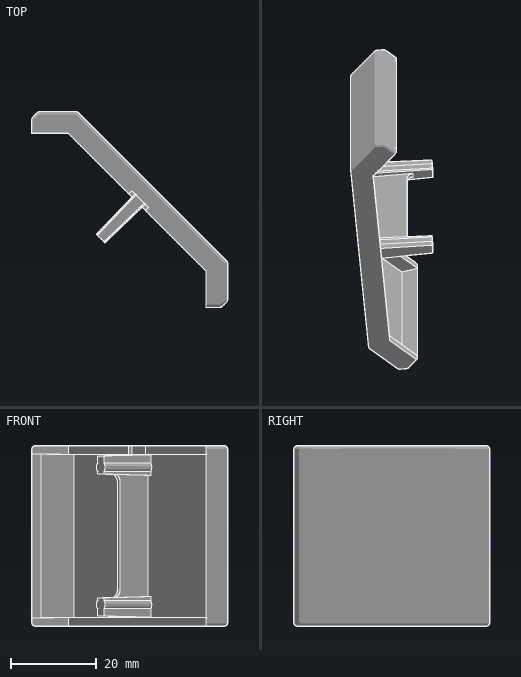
import cadquery as cq
import math

SIDE = 45.75
HEIGHT = 42.2
FLANGE_DEPTH = 5.12
FLANGE_LENGTH = 10.65
CORNER_CHAMFER = 1.55
EDGE_RADIUS = 0.9

WALL = 2.0
PLATE = 2.1
SLANT_WIDTH = 2.2
DRAFT = 1.0

NOTCH_WIDTH = 5.5
NOTCH_DEPTH = 1.0
NOTCH_HEIGHT = 2.75

ARM_LENGTH = 15.1
ARM_BASE_WIDTH = 2.85
ARM_TIP_WIDTH = 2.2
ARM_BASE_REACH = (35.25, 40.05)
ARM_TIP_REACH = (35.55, 39.75)
RIB_CENTER = 37.1
RIB_HALF_HEIGHT = 0.95
RIB_RISE = 0.3
TIP_RADIUS = 0.4
WEB_THICKNESS = 0.9
WEB_LENGTH = 9.15
WEB_FILLET = 2.0

MOUTH = SIDE - FLANGE_DEPTH
OFFSET_SHIFT = math.tan(math.radians(22.5))
MOUTH_CORNER = FLANGE_LENGTH - FLANGE_DEPTH * OFFSET_SHIFT
FLOOR = SIDE - WALL
FLOOR_CORNER = FLANGE_LENGTH - WALL * OFFSET_SHIFT
MID_Z = HEIGHT / 2
POCKET_DEPTH = FLANGE_DEPTH - WALL
FLOOR_MIDDLE = (FLOOR + FLOOR_CORNER) / 2

floor_origin = (FLOOR_MIDDLE, FLOOR_MIDDLE, 0)
floor_plane = cq.Plane(floor_origin, xDir=(1, -1, 0), normal=(-1, -1, 0))
side_plane = cq.Plane(floor_origin, xDir=(-1, -1, 0), normal=(-1, 1, 0))


def with_mirror(half):
    """Complete a plan outline by reflecting it across the X = Y diagonal."""
    return half + [(y, x) for x, y in reversed(half)]


def make_body():
    outline = with_mirror([
        (MOUTH_CORNER, MOUTH),
        (0, MOUTH),
        (0, SIDE - CORNER_CHAMFER),
        (CORNER_CHAMFER, SIDE),
        (FLANGE_LENGTH, SIDE),
    ])
    body = cq.Workplane("XY").polyline(outline).close().extrude(HEIGHT)
    for x, y in outline[2:-2]:
        body = body.edges(cq.selectors.NearestToPointSelector((x, y, MID_Z))).fillet(EDGE_RADIUS)
    for z in (0, HEIGHT):
        rim_point = (SIDE, FLANGE_LENGTH / 2, z)
        body = body.edges(cq.selectors.NearestToPointSelector(rim_point)).fillet(EDGE_RADIUS)
    return body


def make_pocket():
    outline = with_mirror([
        (MOUTH_CORNER, MOUTH),
        (0, MOUTH),
        (SLANT_WIDTH, FLOOR),
        (FLOOR_CORNER, FLOOR),
    ])
    plan = cq.Workplane("XY").polyline(outline).close().extrude(HEIGHT)
    flare = SIDE * math.tan(math.radians(DRAFT))
    wedge = (
        cq.Workplane(side_plane)
        .polyline([
            (0, PLATE),
            (SIDE, PLATE - flare),
            (SIDE, HEIGHT - PLATE + flare),
            (0, HEIGHT - PLATE),
        ])
        .close()
        .extrude(SIDE, both=True)
    )
    return plan.intersect(wedge)


def make_notch():
    return (
        cq.Workplane(floor_plane)
        .workplane(offset=POCKET_DEPTH - NOTCH_DEPTH)
        .center(0, HEIGHT - NOTCH_HEIGHT / 2)
        .rect(NOTCH_WIDTH, NOTCH_HEIGHT)
        .extrude(FLANGE_DEPTH)
    )


def arm_section(workplane, width, reach):
    """Flat-sided section with a rounded rib on each side."""
    half = width / 2
    low, high = reach
    rib_low = RIB_CENTER - RIB_HALF_HEIGHT
    rib_high = RIB_CENTER + RIB_HALF_HEIGHT
    return (
        workplane.moveTo(-half, low)
        .lineTo(half, low)
        .lineTo(half, rib_low)
        .threePointArc((half + RIB_RISE, RIB_CENTER), (half, rib_high))
        .lineTo(half, high)
        .lineTo(-half, high)
        .lineTo(-half, rib_high)
        .threePointArc((-half - RIB_RISE, RIB_CENTER), (-half, rib_low))
        .close()
    )


def make_top_arm():
    base = arm_section(cq.Workplane(floor_plane), ARM_BASE_WIDTH, ARM_BASE_REACH)
    tip_plane = base.workplane(offset=ARM_LENGTH)
    arm = arm_section(tip_plane, ARM_TIP_WIDTH, ARM_TIP_REACH).loft(ruled=True)
    tip_edge = floor_plane.toWorldCoords((0, ARM_TIP_REACH[1], ARM_LENGTH))
    return arm.edges(cq.selectors.NearestToPointSelector(tip_edge.toTuple())).fillet(TIP_RADIUS)


def make_web_half():
    """Web from mid height up to the top arm, with a fillet where they meet."""
    arm_inner = ARM_TIP_REACH[0]
    fillet_end = arm_inner - WEB_FILLET
    fillet_top = WEB_LENGTH + WEB_FILLET
    arc_inset = WEB_FILLET * (1 - math.sqrt(0.5))
    return (
        cq.Workplane(side_plane)
        .moveTo(0, MID_Z)
        .lineTo(WEB_LENGTH, MID_Z)
        .lineTo(WEB_LENGTH, fillet_end)
        .threePointArc((WEB_LENGTH + arc_inset, arm_inner - arc_inset), (fillet_top, arm_inner))
        .lineTo(fillet_top, RIB_CENTER)
        .lineTo(0, RIB_CENTER)
        .close()
        .extrude(WEB_THICKNESS / 2, both=True)
    )


clip_half = make_top_arm().union(make_web_half())
clip = clip_half.union(clip_half.mirror("XY", (0, 0, MID_Z)))

result = make_body().cut(make_pocket()).cut(make_notch()).union(clip)